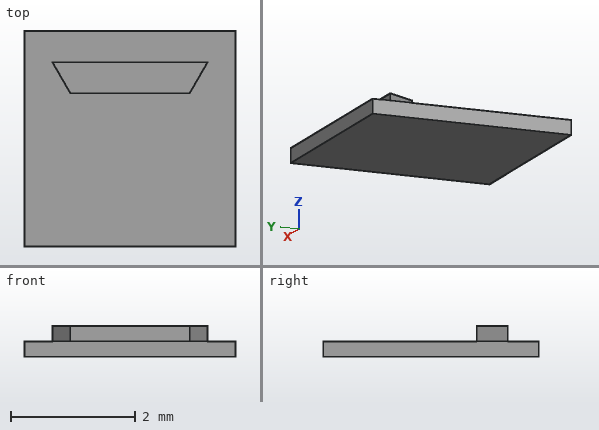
import cadquery as cq
import math

plate_width = 3.4
plate_length = 3.47
plate_thickness = 0.25

bar_height = 0.25
bar_long_side = 2.5
bar_depth = 0.5
bar_edge_gap = 0.5
bar_end_slant = 30.0

bar_back_y = plate_length / 2 - bar_edge_gap
bar_front_y = bar_back_y - bar_depth
bar_back_x = bar_long_side / 2
bar_front_x = bar_back_x - bar_depth * math.tan(math.radians(bar_end_slant))

plate = cq.Workplane("XY").box(
    plate_width, plate_length, plate_thickness, centered=(True, True, False)
)

bar_outline = [
    (-bar_back_x, bar_back_y),
    (bar_back_x, bar_back_y),
    (bar_front_x, bar_front_y),
    (-bar_front_x, bar_front_y),
]
bar = (
    cq.Workplane("XY")
    .workplane(offset=plate_thickness)
    .polyline(bar_outline)
    .close()
    .extrude(bar_height)
)

result = plate.union(bar)